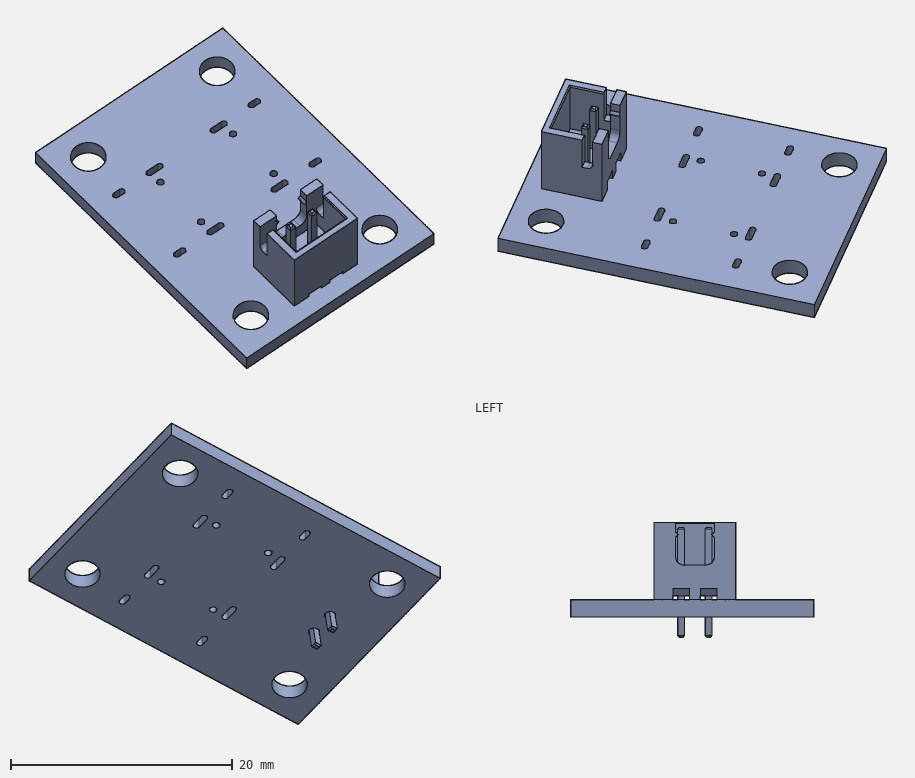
import cadquery as cq
import math

BOARD_LENGTH = 30.0
BOARD_WIDTH = 22.0
BOARD_THICKNESS = 1.6

MOUNT_DIAMETER = 3.2
MOUNT_CENTER_X = -0.03
MOUNT_CENTER_Y = -0.05
MOUNT_PITCH_X = 23.1
MOUNT_PITCH_Y = 15.12

LEAD_CENTER_X = -2.35
LEAD_CENTER_Y = -0.15
LEAD_SLOT_WIDTH = 0.6
LEAD_SLOT_PITCH_X = 8.65
SHORT_SLOT_LENGTH = 1.25
SHORT_SLOT_PITCH_Y = 15.9
LONG_SLOT_LENGTH = 1.8
LONG_SLOT_PITCH_Y = 7.53
LEAD_HOLE_DIAMETER = 0.65
LEAD_HOLE_PITCH_X = 5.8
LEAD_HOLE_PITCH_Y = 8.52

HOUSING_X_MIN = 7.47
HOUSING_DEPTH = 5.75
HOUSING_WIDTH = 7.4
HOUSING_HEIGHT = 7.0
HOUSING_CENTER_Y = -0.25
FRONT_WALL = 0.9
BACK_WALL = 0.7
SIDE_WALL = 0.8
FLOOR_THICKNESS = 1.77
RIM_CHAMFER = 0.12

NOTCH_WIDTH = 3.55
NOTCH_DEPTH = 3.87
NOTCH_RADIUS = 0.8
RIDGE_DROP = 1.1
RIDGE_HEIGHT = 0.48
RIDGE_REACH = 0.27

SIDE_SLOT_WIDTH = 1.0
SIDE_SLOT_DEPTH = 3.33
SIDE_SLOT_RADIUS = 0.5

VENT_WIDTH = 1.5
VENT_FRONT_HEIGHT = 1.0
VENT_BACK_HEIGHT = 0.33
VENT_RAMP_LENGTH = 0.55

PIN_SIZE = 0.63
PIN_PITCH = 2.5
POST_X = 9.78
LEG_X = 9.5
PIN_TOP = 6.55
PIN_CHAMFER = 0.15
PIN_TAIL = 1.83
PIN_BEND_DEPTH = 1.0
PIN_LEAN_ANGLE = 8.0
PIN_HOLE_DIAMETER = 1.0
PIN_HOLE_X = 9.57

HOUSING_X_MAX = HOUSING_X_MIN + HOUSING_DEPTH
CAVITY_X_MIN = HOUSING_X_MIN + FRONT_WALL
CAVITY_X_MAX = HOUSING_X_MAX - BACK_WALL
PIN_YS = [HOUSING_CENTER_Y - PIN_PITCH / 2, HOUSING_CENTER_Y + PIN_PITCH / 2]


def block(x_min, x_max, y_center, y_size, z_min, z_max):
    """Box given by its X range, its Y centre and size, and its Z range."""
    return cq.Workplane("XY").box(
        x_max - x_min, y_size, z_max - z_min, centered=(False, True, False)
    ).translate((x_min, y_center, z_min))


def drill(x, y, pitch_x, pitch_y, diameter):
    """Two by two pattern of through holes centred on (x, y)."""
    pattern = cq.Workplane("XY").center(x, y).rarray(pitch_x, pitch_y, 2, 2)
    return pattern.circle(diameter / 2).extrude(-BOARD_THICKNESS)


def lead_slots(length, pitch_y):
    """Two by two pattern of lead slots that run along Y."""
    pattern = cq.Workplane("XY").center(LEAD_CENTER_X, LEAD_CENTER_Y).rarray(LEAD_SLOT_PITCH_X, pitch_y, 2, 2)
    return pattern.slot2D(length, LEAD_SLOT_WIDTH, 90).extrude(-BOARD_THICKNESS)


def pin_hole(y):
    return cq.Workplane("XY").center(PIN_HOLE_X, y).circle(PIN_HOLE_DIAMETER / 2).extrude(-BOARD_THICKNESS)


def make_board():
    board = block(-BOARD_LENGTH / 2, BOARD_LENGTH / 2, 0, BOARD_WIDTH, -BOARD_THICKNESS, 0)
    board = board.cut(drill(MOUNT_CENTER_X, MOUNT_CENTER_Y, MOUNT_PITCH_X, MOUNT_PITCH_Y, MOUNT_DIAMETER))
    board = board.cut(
        drill(LEAD_CENTER_X, LEAD_CENTER_Y, LEAD_HOLE_PITCH_X, LEAD_HOLE_PITCH_Y, LEAD_HOLE_DIAMETER)
    )
    board = board.cut(lead_slots(SHORT_SLOT_LENGTH, SHORT_SLOT_PITCH_Y))
    board = board.cut(lead_slots(LONG_SLOT_LENGTH, LONG_SLOT_PITCH_Y))
    for y in PIN_YS:
        board = board.cut(pin_hole(y))
    return board


def make_cavity():
    """Inside of the housing, flared by the rim chamfer along the side and back walls."""
    width = HOUSING_WIDTH - 2 * SIDE_WALL
    cavity = block(CAVITY_X_MIN, CAVITY_X_MAX, HOUSING_CENTER_Y, width, FLOOR_THICKNESS, HOUSING_HEIGHT)
    flare_length = CAVITY_X_MAX + RIM_CHAMFER - CAVITY_X_MIN
    flare = (
        cq.Workplane("XY", origin=(CAVITY_X_MIN + flare_length / 2, HOUSING_CENTER_Y, HOUSING_HEIGHT))
        .rect(flare_length, width + 2 * RIM_CHAMFER)
        .extrude(-RIM_CHAMFER, taper=45)
    )
    return cavity.union(flare)


def make_notch():
    """Round-bottomed front wall notch, less the ridges that narrow it."""
    bottom = HOUSING_HEIGHT - NOTCH_DEPTH
    notch = (
        block(HOUSING_X_MIN, CAVITY_X_MIN, HOUSING_CENTER_Y, NOTCH_WIDTH, bottom, HOUSING_HEIGHT)
        .faces("<Z").edges("|X").fillet(NOTCH_RADIUS)
    )
    ridge_z = HOUSING_HEIGHT - RIDGE_DROP
    for side in (-1, 1):
        flank_y = HOUSING_CENTER_Y + side * NOTCH_WIDTH / 2
        ridge = (
            cq.Workplane("YZ", origin=(HOUSING_X_MIN, 0, 0))
            .moveTo(flank_y, ridge_z - RIDGE_HEIGHT / 2)
            .lineTo(flank_y - side * RIDGE_REACH, ridge_z)
            .lineTo(flank_y, ridge_z + RIDGE_HEIGHT / 2)
            .close()
            .extrude(FRONT_WALL)
        )
        notch = notch.cut(ridge)
    return notch


def make_side_slot():
    bottom = HOUSING_HEIGHT - SIDE_SLOT_DEPTH
    return (
        block(
            CAVITY_X_MIN, CAVITY_X_MIN + SIDE_SLOT_WIDTH, HOUSING_CENTER_Y, HOUSING_WIDTH,
            bottom, HOUSING_HEIGHT,
        )
        .faces("<Z").edges("<X").fillet(SIDE_SLOT_RADIUS)
    )


def make_vent(y):
    return (
        cq.Workplane("XZ", origin=(0, y, 0))
        .moveTo(HOUSING_X_MIN, 0)
        .lineTo(HOUSING_X_MAX, 0)
        .lineTo(HOUSING_X_MAX, VENT_BACK_HEIGHT)
        .lineTo(HOUSING_X_MIN + VENT_RAMP_LENGTH, VENT_BACK_HEIGHT)
        .lineTo(HOUSING_X_MIN, VENT_FRONT_HEIGHT)
        .close()
        .extrude(VENT_WIDTH / 2, both=True)
    )


def make_pin(y):
    tip_z = -BOARD_THICKNESS - PIN_TAIL
    lean = (-PIN_BEND_DEPTH - tip_z) * math.tan(math.radians(PIN_LEAN_ANGLE))
    center_line = [
        (POST_X, PIN_TOP),
        (POST_X, FLOOR_THICKNESS),
        (LEG_X, VENT_BACK_HEIGHT),
        (LEG_X, -PIN_BEND_DEPTH),
        (LEG_X + lean, tip_z),
    ]
    left_side = [(x - PIN_SIZE / 2, z) for x, z in center_line]
    right_side = [(x + PIN_SIZE / 2, z) for x, z in center_line]
    return (
        cq.Workplane("XZ", origin=(0, y, 0))
        .polyline(left_side + right_side[::-1])
        .close()
        .extrude(PIN_SIZE / 2, both=True)
        .faces("<Z or >Z").chamfer(PIN_CHAMFER)
    )


def make_connector():
    """Housing with its two moulded-in pins, as one body."""
    connector = block(HOUSING_X_MIN, HOUSING_X_MAX, HOUSING_CENTER_Y, HOUSING_WIDTH, 0, HOUSING_HEIGHT)
    connector = connector.cut(make_cavity()).cut(make_notch()).cut(make_side_slot())
    for y in PIN_YS:
        connector = connector.cut(make_vent(y))
    for y in PIN_YS:
        connector = connector.union(make_pin(y))
    return connector


board = make_board()
connector = make_connector()
result = cq.Compound.makeCompound([board.val(), connector.val()])